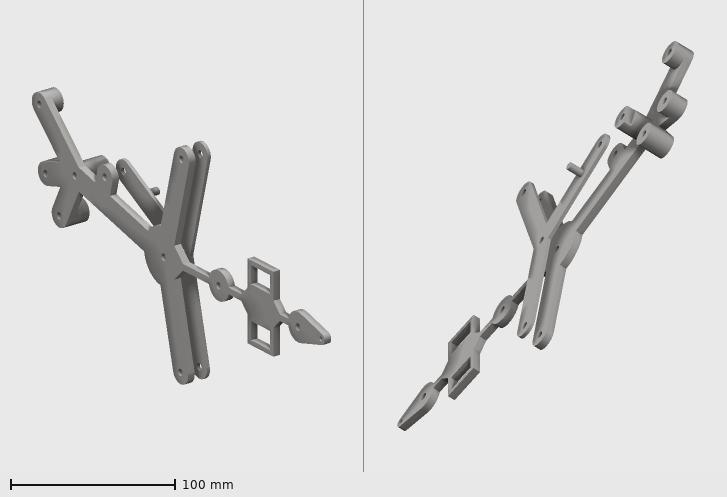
import cadquery as cq
import math


plate_thickness = 5.0
back_plate_front = 14.3
back_plate_back = 16.5
pin_end = 26.5

strip_width = 15.5
strip_radius = strip_width / 2
hole_diameter = 4.8
hub_radius = 20.0
hub_nose = 22.0

hub = (0, 0)
upper_leg_tip = (18.0, 70.7)
lower_leg_tip = (17.2, -70.5)
neck = (-90.0, 23.2)
crown = (-59.7, 32.7)
upper_finger_tip = (-126.0, 58.3)
middle_finger_tip = (-119.8, 14.5)
lower_finger_tip = (-105.8, -8.5)

upper_boss_end = 12.8
middle_boss_end = 12.0
lower_boss_end = 17.2
neck_boss_end = 22.0

clearance_radius = 28.0
clearance_front = 16.5

pin_diameter = 5.0
pin_centre = (-41.3, 23.2)

disc_radius = 10.0
bar_width = 4.5
middle_disc_x = 56.0
frame_x = 98.5
frame_width = 26.2
frame_height = 56.2
frame_border = 3.3
body_half_length = 19.5
body_half_height = 12.2
shoulder_height = 9.0
arrow_x = 136.5
tip_radius = 4.0
tip_x = 159.5
tip_hole_diameter = 3.0


def plane_at(y):
    """Workplane facing -Y at depth y; its local axes are X and Z."""
    return cq.Workplane("XZ", origin=(0, y, 0))


def cylinder(centre, radius, front, back):
    """Cylinder along Y from depth front to depth back."""
    return plane_at(front).center(*centre).circle(radius).extrude(front - back)


def strip(start, end, front, back):
    """Round-ended strip with its end centres at start and end."""
    dx = end[0] - start[0]
    dz = end[1] - start[1]
    angle = math.degrees(math.atan2(dz, dx))
    middle = ((start[0] + end[0]) / 2, (start[1] + end[1]) / 2)
    bar = plane_at(front).center(*middle).transformed(rotate=(0, 0, angle))
    bar = bar.rect(math.hypot(dx, dz), strip_width).extrude(front - back)
    for centre in (start, end):
        bar = bar.union(cylinder(centre, strip_radius, front, back))
    return bar


def drill(body, centres):
    """Drill through the whole depth of the body at each centre."""
    for centre in centres:
        body = body.cut(cylinder(centre, hole_diameter / 2, 0, pin_end))
    return body


def nosed_hub():
    """Round hub of the front plate, cut to a 90 degree nose on its +X side."""
    nose_outline = [
        (hub_nose, 0),
        (0, hub_nose),
        (-hub_nose, hub_nose),
        (-hub_nose, -hub_nose),
        (0, -hub_nose),
    ]
    nose_limit = plane_at(0).polyline(nose_outline).close().extrude(-plate_thickness)
    return cylinder(hub, hub_radius, 0, plate_thickness).intersect(nose_limit)


def crown_foot():
    """Point on the neck axis straight below the crown, square to that axis."""
    share = (crown[0] * neck[0] + crown[1] * neck[1]) / (neck[0] ** 2 + neck[1] ** 2)
    return (share * neck[0], share * neck[1])


def pointer_root():
    """Hub disc and the bar that runs from it to the middle disc."""
    bar = plane_at(0).center(middle_disc_x / 2, 0).rect(middle_disc_x, bar_width).extrude(-plate_thickness)
    return cylinder(hub, disc_radius, 0, plate_thickness).union(bar)


def make_front_plate():
    plate = nosed_hub()
    strips = [
        (hub, upper_leg_tip),
        (hub, lower_leg_tip),
        (hub, neck),
        (crown, crown_foot()),
        (neck, upper_finger_tip),
        (neck, middle_finger_tip),
        (neck, lower_finger_tip),
    ]
    for start, end in strips:
        plate = plate.union(strip(start, end, 0, plate_thickness))

    neck_boss = cylinder(neck, strip_radius, 0, neck_boss_end)
    clearance = cylinder(middle_finger_tip, clearance_radius, clearance_front, neck_boss_end)
    plate = plate.union(neck_boss.cut(clearance))

    finger_bosses = [
        (upper_finger_tip, upper_boss_end),
        (middle_finger_tip, middle_boss_end),
        (lower_finger_tip, lower_boss_end),
    ]
    for centre, end in finger_bosses:
        plate = plate.union(cylinder(centre, strip_radius, 0, end))

    finger_tips = [centre for centre, end in finger_bosses]
    plate = drill(plate, [upper_leg_tip, lower_leg_tip, neck, crown, *finger_tips])
    return plate.cut(pointer_root())


def make_back_plate():
    plate = strip(hub, crown, back_plate_front, back_plate_back)
    for tip in (upper_leg_tip, lower_leg_tip):
        plate = plate.union(strip(hub, tip, back_plate_front, back_plate_back))
    plate = drill(plate, [hub, upper_leg_tip, lower_leg_tip, crown])
    return plate.union(cylinder(pin_centre, pin_diameter / 2, back_plate_front, pin_end))


def pointer_frame():
    """Frame with a window above and below a body whose ends taper to the bars."""
    half_width = frame_width / 2
    base = plane_at(0).center(frame_x, 0)
    frame = base.rect(frame_width, frame_height).extrude(-plate_thickness)
    opening_width = frame_width - 2 * frame_border
    opening_height = frame_height - 2 * frame_border
    window = base.rect(opening_width, opening_height).extrude(-plate_thickness)
    middle = base.rect(frame_width, 2 * body_half_height).extrude(-plate_thickness)
    ends = [
        (body_half_length, bar_width / 2),
        (half_width, shoulder_height),
        (-half_width, shoulder_height),
        (-body_half_length, bar_width / 2),
        (-body_half_length, -bar_width / 2),
        (-half_width, -shoulder_height),
        (half_width, -shoulder_height),
        (body_half_length, -bar_width / 2),
    ]
    tapered_ends = base.polyline(ends).close().extrude(-plate_thickness)
    return frame.cut(window).union(middle).union(tapered_ends)


def pointer_arrow():
    """Disc with straight sides tangent to it and to the small round tip."""
    lean = math.asin((disc_radius - tip_radius) / (tip_x - arrow_x))
    along = math.sin(lean)
    across = math.cos(lean)
    outline = (
        plane_at(0)
        .moveTo(arrow_x + disc_radius * along, disc_radius * across)
        .lineTo(tip_x + tip_radius * along, tip_radius * across)
        .threePointArc((tip_x + tip_radius, 0), (tip_x + tip_radius * along, -tip_radius * across))
        .lineTo(arrow_x + disc_radius * along, -disc_radius * across)
        .threePointArc((arrow_x - disc_radius, 0), (arrow_x + disc_radius * along, disc_radius * across))
        .close()
    )
    return outline.extrude(-plate_thickness)


def make_pointer():
    outer_bar_length = arrow_x - middle_disc_x
    outer_bar_x = (arrow_x + middle_disc_x) / 2
    outer_bar = plane_at(0).center(outer_bar_x, 0).rect(outer_bar_length, bar_width).extrude(-plate_thickness)
    middle_disc = cylinder((middle_disc_x, 0), disc_radius, 0, plate_thickness)
    pointer = pointer_root().union(middle_disc).union(outer_bar)
    pointer = pointer.union(pointer_frame()).union(pointer_arrow())
    pointer = drill(pointer, [hub, (middle_disc_x, 0), (arrow_x, 0)])
    return pointer.cut(cylinder((tip_x, 0), tip_hole_diameter / 2, 0, plate_thickness))


front_plate = make_front_plate()
back_plate = make_back_plate()
pointer = make_pointer()

result = cq.Compound.makeCompound([body.solids().val() for body in (front_plate, back_plate, pointer)])